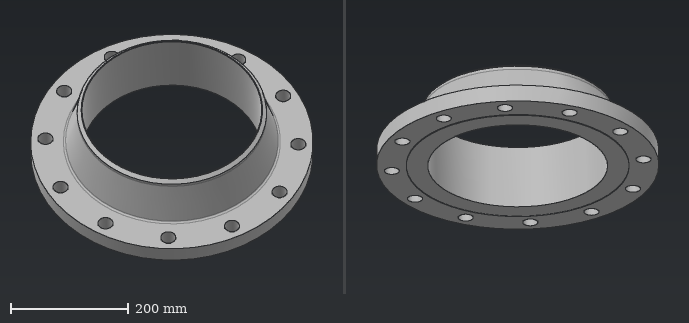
import cadquery as cq
import math

flange_diameter = 482.5
overall_height = 114.5
flange_top = 32.0

raised_face_diameter = 380.5
raised_face_height = 1.5

hub_base_diameter = 364.7
hub_fillet_radius = 4.0
neck_diameter = 323.5
neck_length = 6.0

bore_diameter = 307.0
weld_land = 1.5
bevel_height = 6.0

bolt_count = 12
bolt_circle_diameter = 432.0
bolt_hole_diameter = 25.5

flange_radius = flange_diameter / 2
raised_face_radius = raised_face_diameter / 2
hub_base_radius = hub_base_diameter / 2
neck_radius = neck_diameter / 2
bore_radius = bore_diameter / 2

bevel_bottom = overall_height - bevel_height
cone_top = bevel_bottom - neck_length


def hub_fillet_points():
    """Start, middle and end (radius, Z) of the arc blending the flange face into the hub cone."""
    cone_lean = math.atan2(hub_base_radius - neck_radius, cone_top - flange_top)
    turn = math.pi / 2 - cone_lean
    setback = hub_fillet_radius * math.tan(turn / 2)
    center_r = hub_base_radius + setback
    center_z = flange_top + hub_fillet_radius

    def on_arc(angle):
        return (
            center_r - hub_fillet_radius * math.sin(angle),
            center_z - hub_fillet_radius * math.cos(angle),
        )

    return on_arc(0), on_arc(turn / 2), on_arc(turn)


def flange_body():
    """Half section in the XZ plane revolved about Z."""
    fillet_start, fillet_middle, fillet_end = hub_fillet_points()
    section = (
        cq.Workplane("XZ")
        .moveTo(bore_radius, 0)
        .lineTo(raised_face_radius, 0)
        .lineTo(raised_face_radius, raised_face_height)
        .lineTo(flange_radius, raised_face_height)
        .lineTo(flange_radius, flange_top)
        .lineTo(*fillet_start)
        .threePointArc(fillet_middle, fillet_end)
        .lineTo(neck_radius, cone_top)
        .lineTo(neck_radius, bevel_bottom)
        .lineTo(bore_radius + weld_land, overall_height)
        .lineTo(bore_radius, overall_height)
        .close()
    )
    return section.revolve(360, (0, 0, 0), (0, 1, 0))


def bolt_holes():
    """Through-hole cutters, the first one on the +X axis."""
    return (
        cq.Workplane("XY")
        .polarArray(bolt_circle_diameter / 2, 0, 360, bolt_count)
        .circle(bolt_hole_diameter / 2)
        .extrude(flange_top)
    )


result = flange_body().cut(bolt_holes())